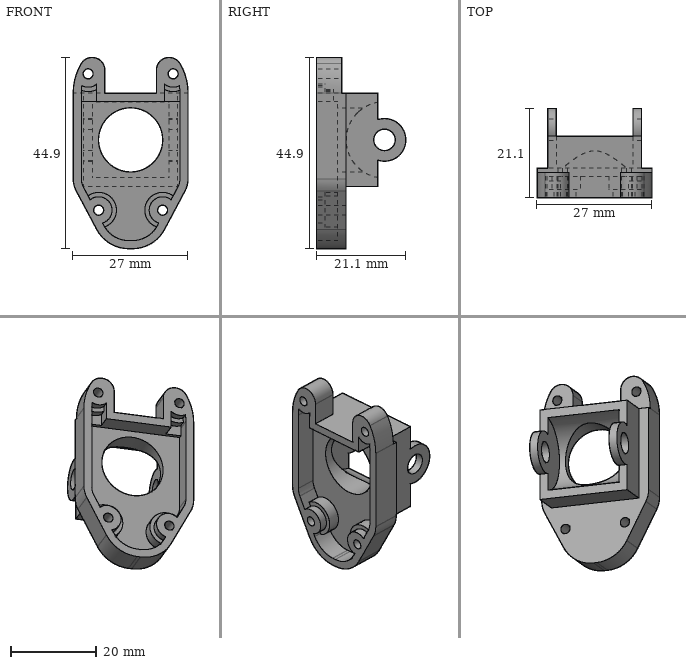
import cadquery as cq
import math

height = 44.9
width = 27.0
half_width = width / 2
wall = 1.95
tray_depth = 7.0
ear_depth = 5.97
pocket_depth = 5.0
ear_pocket_depth = 4.0

nose_radius = 8.6
nose_flat_half = 0.4
taper_angle = math.radians(28)
bend_radius = 6.0
slot_half_width = 6.0
slot_floor = 36.5
ear_tip_radius = 3.0
ear_side_radius = 13.47

screw_diameter = 2.3
boss_radius = 3.15
step_radius = 4.18
step_depth = 1.98
lower_screw = (7.5, 9.05)
upper_screw = (9.95, 41.05)

box_half_width = 11.0
box_bottom = 14.6
box_back = 14.45
window_diameter = 15.0
window_height = 25.55
lug_radius = 5.05
lug_hole_diameter = 5.0
lug_center_y = 16.0
lug_thickness = 2.0


def arc_point(center, radius, angle):
    """Point on a circle, with the angle measured from +X towards +Z."""
    return (center[0] + radius * math.cos(angle), center[1] + radius * math.sin(angle))


def mirrored(point):
    return (-point[0], point[1])


def front_plane(y=0.0):
    """Sketch plane with local axes X and Z; negative extrusion runs towards +Y."""
    return cq.Workplane("XZ", origin=(0, y, 0))


def tray_outline():
    """Closed outline made of tangent arcs and lines, symmetric about x = 0."""
    nose_center = (nose_flat_half, nose_radius)
    nose_end = arc_point(nose_center, nose_radius, -taper_angle)

    nose_angle = -(math.pi / 2 + taper_angle) / 2
    nose_middle = arc_point(nose_center, nose_radius, nose_angle)
    nose_start = (nose_flat_half, 0)

    bend_x = half_width - bend_radius
    taper_offset = nose_radius - bend_radius
    bend_shift = bend_x - nose_flat_half
    bend_z = nose_radius + (bend_shift * math.cos(taper_angle) - taper_offset) / math.sin(taper_angle)
    bend_center = (bend_x, bend_z)
    bend_start = arc_point(bend_center, bend_radius, -taper_angle)
    bend_middle = arc_point(bend_center, bend_radius, -taper_angle / 2)
    bend_end = (half_width, bend_z)

    tip_center = (slot_half_width + ear_tip_radius, height - ear_tip_radius)
    side_x = half_width - ear_side_radius
    join_angle = math.acos((tip_center[0] - side_x) / (ear_side_radius - ear_tip_radius))
    side_z = tip_center[1] - (ear_side_radius - ear_tip_radius) * math.sin(join_angle)
    side_center = (side_x, side_z)
    side_start = (half_width, side_z)
    side_middle = arc_point(side_center, ear_side_radius, join_angle / 2)
    side_end = arc_point(tip_center, ear_tip_radius, join_angle)
    tip_middle = (tip_center[0], height)
    tip_end = (slot_half_width, tip_center[1])
    slot_corner = (slot_half_width, slot_floor)

    return (
        front_plane()
        .moveTo(*mirrored(nose_end))
        .threePointArc(mirrored(nose_middle), mirrored(nose_start))
        .lineTo(*nose_start)
        .threePointArc(nose_middle, nose_end)
        .lineTo(*bend_start)
        .threePointArc(bend_middle, bend_end)
        .lineTo(*side_start)
        .threePointArc(side_middle, side_end)
        .threePointArc(tip_middle, tip_end)
        .lineTo(*slot_corner)
        .lineTo(*mirrored(slot_corner))
        .lineTo(*mirrored(tip_end))
        .threePointArc(mirrored(tip_middle), mirrored(side_end))
        .threePointArc(mirrored(side_middle), mirrored(side_start))
        .lineTo(*mirrored(bend_end))
        .threePointArc(mirrored(bend_middle), mirrored(bend_start))
        .close()
    )


def block(half_x, y_range, z_range):
    """Box centred on x = 0 between the given Y and Z limits."""
    size = (2 * half_x, y_range[1] - y_range[0], z_range[1] - z_range[0])
    return cq.Workplane("XY").box(*size, centered=(True, False, False)).translate((0, y_range[0], z_range[0]))


def discs(points, radius, y_start, y_end):
    return front_plane(y_start).pushPoints(points).circle(radius).extrude(y_start - y_end)


screw_points = [p for q in (lower_screw, upper_screw) for p in (q, mirrored(q))]

outline_solid = tray_outline().extrude(-tray_depth)
ear_relief = block(half_width, (ear_depth, tray_depth), (slot_floor, height))
tray = outline_solid.cut(ear_relief)

pocket = tray_outline().offset2D(-wall, "intersection").extrude(-pocket_depth)
pocket = pocket.cut(discs(screw_points, boss_radius, 0, pocket_depth))
pocket = pocket.cut(discs(screw_points, step_radius, step_depth, pocket_depth))
ear_floor = block(
    half_width, (ear_pocket_depth, pocket_depth), (slot_floor - wall, height)
)
tray = tray.cut(pocket.cut(ear_floor))

box = block(box_half_width, (tray_depth, box_back), (box_bottom, slot_floor))


def hinge_cylinder(radius, half_length):
    """Cylinder on the hinge axis, which runs along X through both lugs."""
    return (
        cq.Workplane("YZ", origin=(-half_length, 0, 0))
        .center(lug_center_y, window_height)
        .circle(radius)
        .extrude(2 * half_length)
    )


cavity = hinge_cylinder(lug_center_y - tray_depth, box_half_width - lug_thickness)
lugs = hinge_cylinder(lug_radius, box_half_width)
lug_bore = hinge_cylinder(lug_hole_diameter / 2, box_half_width)
box = box.union(lugs).cut(cavity).cut(lug_bore)

window = discs([(0, window_height)], window_diameter / 2, 0, box_back)
screw_holes = discs(screw_points, screw_diameter / 2, 0, tray_depth)

result = tray.union(box).cut(window).cut(screw_holes)